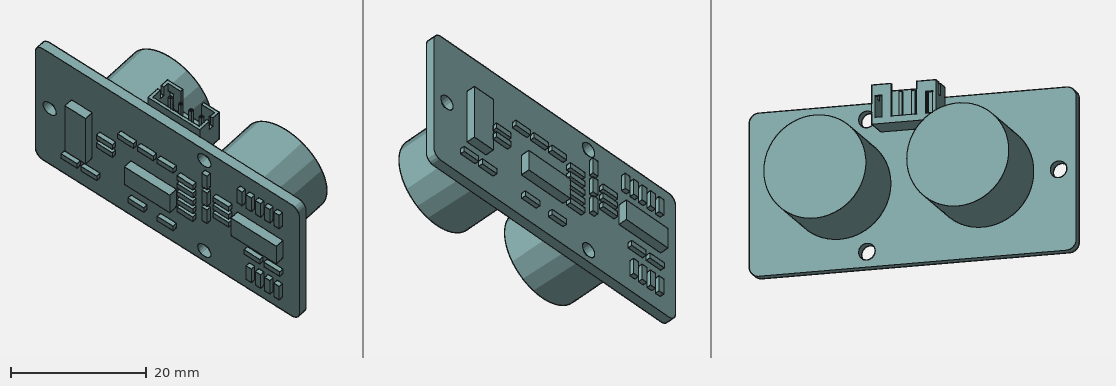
import cadquery as cq

board_length = 50.6
board_height = 25.0
board_thickness = 1.55
board_corner_radius = 1.5
mount_hole_diameter = 2.55
left_hole_x = -22.55
right_holes_x = 7.1
right_holes_z = 10.1

can_diameter = 15.8
can_length = 12.25
can_spacing = 22.1
can_middle_x = 0.2

chip_width = 3.95
chip_length = 8.7
regulator_length = 10.2
chip_thickness = 1.5
small_part_length = 3.05
small_part_width = 1.0
small_part_thickness = 0.75
small_part_gap = 0.75
side_pitch = small_part_width + small_part_gap
end_pitch = small_part_length + small_part_gap
sparse_pitch = 5.6

shell_middle_x = -0.05
shell_width = 9.9
shell_depth = 4.5
shell_height = 6.0
shell_top_z = 14.0
shell_wall = 0.5
shell_floor = 1.0
key_notch_width = 4.0
corner_window_width = 1.05
corner_window_recess = 1.65
side_slot_width = 0.8
side_slot_depth = 1.85
side_slot_offset = 2.65

pin_count = 4
pin_pitch = 1.95
pin_size = 0.5
pin_offset = 2.8
pin_recess = 0.8
pin_tip_chamfer = 0.125


def box(x_size, y_size, z_size, x, y, z):
    """Box centred on x in X, starting at y in Y and at z in Z."""
    return cq.Workplane("XY").box(x_size, y_size, z_size, centered=(True, False, False)).translate((x, y, z))


def front_block(x_size, z_size, thickness, x, z):
    """Block on the front face of the board, centred on (x, z)."""
    return box(x_size, thickness, z_size, x, -thickness, z - z_size / 2)


def small_parts(x, z, count, pitch, upright=False, stacked=False):
    """Row of small parts running +X from (x, z), or running down -Z when stacked."""
    x_size, z_size = small_part_length, small_part_width
    if upright:
        x_size, z_size = z_size, x_size
    x_step, z_step = (0, -pitch) if stacked else (pitch, 0)
    return [
        front_block(x_size, z_size, small_part_thickness, x + i * x_step, z + i * z_step)
        for i in range(count)
    ]


def make_bare_board():
    """Rounded board with three mounting holes."""
    board = box(board_length, board_thickness, board_height, 0, 0, -board_height / 2)
    board = board.edges("|Y").fillet(board_corner_radius)
    hole_centres = [(left_hole_x, 0), (right_holes_x, right_holes_z), (right_holes_x, -right_holes_z)]
    for x, z in hole_centres:
        hole = cq.Workplane("XZ", origin=(x, 0, z)).circle(mount_hole_diameter / 2).extrude(-board_thickness)
        board = board.cut(hole)
    return board


def make_can(x):
    """Transducer can standing on the back face of the board."""
    can = cq.Workplane("XZ", origin=(x, board_thickness, 0))
    return can.circle(can_diameter / 2).extrude(-can_length)


def make_chips():
    """Upright regulator on the left, one chip in the middle and one on the right."""
    return [
        front_block(chip_width, regulator_length, chip_thickness, -16.4, -0.05),
        front_block(chip_length, chip_width, chip_thickness, -2.65, -2.3),
        front_block(chip_length, chip_width, chip_thickness, 17.8, 1.25),
    ]


def make_small_parts():
    """Rows and stacks of small parts, from the left end of the board to the right."""
    return [
        *small_parts(-18.2, -7.95, 2, end_pitch),
        *small_parts(-11.45, 1.25, 2, side_pitch, stacked=True),
        *small_parts(-7.4, 4.5, 3, end_pitch),
        *small_parts(-5.4, -8.45, 2, sparse_pitch),
        *small_parts(4.0, 3.5, 5, side_pitch, stacked=True),
        *small_parts(7.75, 6.6, 3, end_pitch, upright=True, stacked=True),
        *small_parts(10.9, 3.75, 3, side_pitch, stacked=True),
        *small_parts(16.85, -3.7, 2, end_pitch),
        *small_parts(14.45, 7.95, 5, side_pitch, upright=True),
        *small_parts(16.25, -8.05, 4, side_pitch, upright=True),
    ]


def make_board():
    """Board with its transducer cans, chips and small parts as one solid."""
    board = make_bare_board()
    for side in (-1, 1):
        board = board.union(make_can(can_middle_x + side * can_spacing / 2))
    for part in make_chips() + make_small_parts():
        board = board.union(part)
    return board


def make_connector():
    """Open shell with a keyed and windowed back wall, two side slots and a row of pins."""
    x = shell_middle_x
    shell_bottom_z = shell_top_z - shell_height
    floor_z = shell_bottom_z + shell_floor
    cavity_height = shell_top_z - floor_z
    cavity_width = shell_width - 2 * shell_wall
    cavity_depth = shell_depth - 2 * shell_wall
    cavity_y = board_thickness + shell_wall

    shell = box(shell_width, shell_depth, shell_height, x, board_thickness, shell_bottom_z)
    shell = shell.cut(box(cavity_width, cavity_depth, cavity_height, x, cavity_y, floor_z))

    back_wall_y = cavity_y + cavity_depth
    shell = shell.cut(box(key_notch_width, shell_wall, cavity_height, x, back_wall_y, floor_z))

    window_height = cavity_height - corner_window_recess
    for side in (-1, 1):
        window_x = x + side * (cavity_width - corner_window_width) / 2
        shell = shell.cut(box(corner_window_width, shell_wall, window_height, window_x, back_wall_y, floor_z))

    slot_y = board_thickness + side_slot_offset - side_slot_width / 2
    slot_z = shell_top_z - side_slot_depth
    shell = shell.cut(box(shell_width, side_slot_width, side_slot_depth, x, slot_y, slot_z))

    pin_y = board_thickness + pin_offset - pin_size / 2
    pin_height = cavity_height - pin_recess
    for i in range(pin_count):
        pin_x = x + (i - (pin_count - 1) / 2) * pin_pitch
        pin = box(pin_size, pin_size, pin_height, pin_x, pin_y, floor_z)
        shell = shell.union(pin.faces(">Z").chamfer(pin_tip_chamfer))
    return shell


board = make_board()
connector = make_connector()

result = cq.Compound.makeCompound([board.solids().val(), connector.solids().val()])